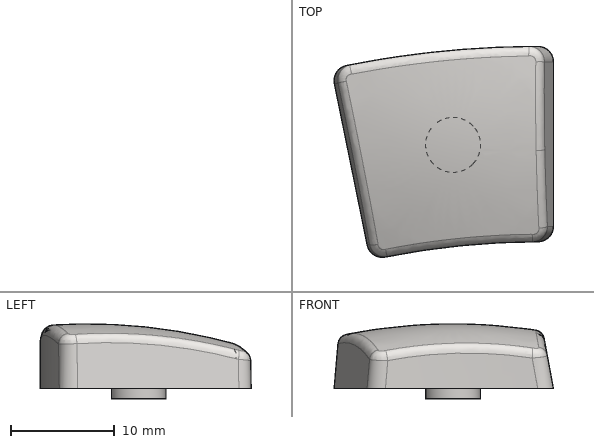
import cadquery as cq

arc_center_x = 8.3
arc_center_y = -84.9
inner_radius = 75.55
band_width = 18.85
outer_radius = inner_radius + band_width

right_base_x = 9.68
right_draft = 10.5
left_base_x = -10.25
left_turn = 11.5
left_draft = 5.0

dome_radius = 53.0
dome_tilt = 6.0
crown_height = 5.98

corner_radius = 1.5
rim_radius = 1.0

stem_diameter = 5.3
stem_length = 1.0
stem_overlap = 1.0

blank_height = 9.0
trim_size = 60.0


def ring_blank():
    """Ring bounded by the concave and convex end walls."""
    return (
        cq.Workplane("XY")
        .center(arc_center_x, arc_center_y)
        .circle(outer_radius)
        .circle(inner_radius)
        .extrude(blank_height)
    )


def side_keeper(base_x, turn, draft):
    """Block whose -X face passes through (base_x, 0, 0), leaning by draft and turned about Z."""
    return (
        cq.Workplane("XY")
        .box(trim_size, trim_size, trim_size, centered=(False, True, True))
        .rotate((0, 0, 0), (0, 1, 0), draft)
        .rotate((0, 0, 0), (0, 0, 1), turn)
        .translate((base_x, 0, 0))
    )


def dome():
    """Sphere whose upper cap forms the top surface."""
    sphere = cq.Workplane("XY").sphere(dome_radius).translate((0, 0, crown_height - dome_radius))
    return sphere.rotate((0, 0, 0), (1, 0, 0), dome_tilt)


def stem():
    return (
        cq.Workplane("XY")
        .workplane(offset=-stem_length)
        .circle(stem_diameter / 2)
        .extrude(stem_length + stem_overlap)
    )


def body():
    left_keeper = side_keeper(left_base_x, left_turn, left_draft)
    right_keeper = side_keeper(-right_base_x, 0, right_draft).rotate((0, 0, 0), (0, 0, 1), 180)
    walls = ring_blank().intersect(left_keeper).intersect(right_keeper)
    rounded = walls.edges("not(<Z or >Z)").fillet(corner_radius)
    return rounded.intersect(dome()).faces(">Z").edges().fillet(rim_radius)


result = body().union(stem())